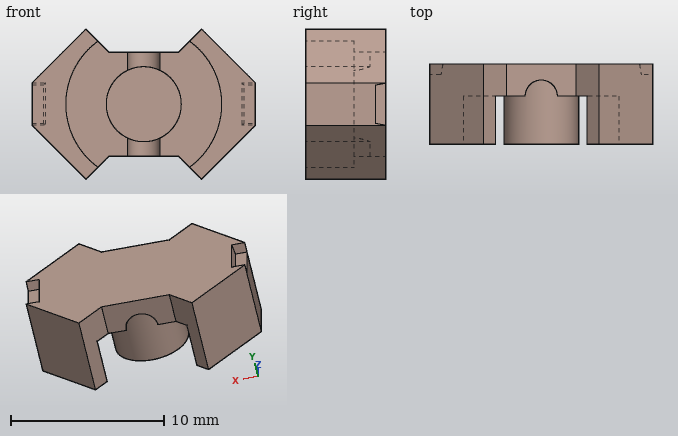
import cadquery as cq

length = 14.6
depth = 5.25
height = 9.83

end_half_height = 1.39
waist_half_height = 3.4
half_length = length / 2
half_height = height / 2
tip_x = half_length - (half_height - end_half_height)
waist_x = tip_x - (half_height - waist_half_height)

post_diameter = 4.9
winding_diameter = 10.19
winding_depth = 3.15

channel_diameter = 2.1

notch_depth = 0.67
notch_reach = 0.88
notch_rear_half_height = 1.37
notch_draft = 10.0

front_y = -depth / 2
rear_y = depth / 2
floor_y = front_y + winding_depth


def cylinder_y(diameter, start_y, end_y):
    """Cylinder on the Y axis between two Y positions."""
    center = cq.Workplane("XZ", origin=(0, start_y, 0))
    return center.circle(diameter / 2).extrude(start_y - end_y)


def make_body():
    """Hexagon-like block with a waist notch above and below."""
    upper = [
        (-half_length, end_half_height),
        (-tip_x, half_height),
        (-waist_x, waist_half_height),
        (waist_x, waist_half_height),
        (tip_x, half_height),
        (half_length, end_half_height),
    ]
    lower = [(x, -z) for x, z in reversed(upper)]
    return cq.Workplane("XZ").polyline(upper + lower).close().extrude(depth / 2, both=True)


def make_channel():
    """Cylinder along Z whose axis lies in the winding floor."""
    return (
        cq.Workplane("XY")
        .center(0, floor_y)
        .circle(channel_diameter / 2)
        .extrude(half_height, both=True)
    )


def make_end_notch():
    """Cutter for the -X end: a pocket that narrows from the rear face towards the front."""
    return (
        cq.Workplane("XZ", origin=(-half_length, rear_y, 0))
        .rect(2 * notch_reach, 2 * notch_rear_half_height)
        .extrude(notch_depth, taper=notch_draft)
    )


winding_space = cylinder_y(winding_diameter, front_y, floor_y)
post = cylinder_y(post_diameter, front_y, rear_y)
end_notch = make_end_notch()

result = (
    make_body()
    .cut(winding_space)
    .cut(make_channel())
    .union(post)
    .cut(end_notch)
    .cut(end_notch.mirror("YZ"))
)